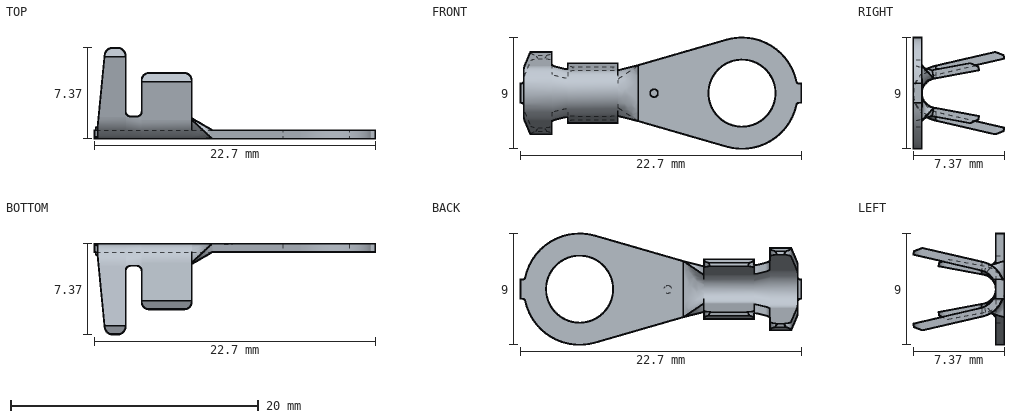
import cadquery as cq
import math

length = 22.67
sheet = 0.7

ring_width = 9.0
ring_radius = ring_width / 2
ring_x = 17.89
hole_radius = 2.7
tongue_start = 9.52
tongue_start_half = 2.27
dimple_x = 10.8
dimple_radius = 0.32
dimple_depth = 0.05

tab_half = 0.8
tab_fillet = 0.15

grip_start, grip_end = 0.27, 2.55
grip_radius = 2.27
grip_lean = 13.0
grip_tip, grip_shoulder = 7.37, 6.62
grip_taper_base = 1.13
grip_taper = 0.61
grip_corner = 0.73

crimp_start, crimp_end = 3.8, 7.87
crimp_radius = 1.88
crimp_lean = 10.6
crimp_tip, crimp_shoulder = 5.33, 4.6
crimp_corner = 0.63

tip_land = 0.3

notch_floor = 1.81
notch_fillet = 0.36
neck_top = 2.72


def bend_point(radius, bend_radius, lean):
    """Point (y, z) on a bend arc where the leaning wing starts."""
    angle = math.radians(lean)
    return bend_radius - radius * math.sin(angle), radius * math.cos(angle)


def wing_point(radius, bend_radius, lean, y):
    """Point (y, z) at height y on the straight face of the wing."""
    y_bend, z_bend = bend_point(radius, bend_radius, lean)
    return y, z_bend + (y - y_bend) * math.tan(math.radians(lean))


def mirrored(point):
    """Point (y, z) reflected across Z = 0."""
    return point[0], -point[1]


def channel(x, bend_radius, lean, tip, shoulder=None):
    """U-shaped sheet section at x; with a shoulder, the tips are coined on the outside."""
    inner_radius = bend_radius - sheet
    outer_bend = bend_point(bend_radius, bend_radius, lean)
    inner_bend = bend_point(inner_radius, bend_radius, lean)
    inner_tip = wing_point(inner_radius, bend_radius, lean, tip)
    if shoulder is None:
        wing = [wing_point(bend_radius, bend_radius, lean, tip), inner_tip]
    else:
        slope = math.radians(lean)
        land_corner = (tip - tip_land * math.sin(slope), inner_tip[1] + tip_land * math.cos(slope))
        wing = [
            wing_point(bend_radius, bend_radius, lean, shoulder),
            land_corner,
            inner_tip,
        ]
    section = cq.Workplane("YZ", origin=(x, 0, 0)).moveTo(*mirrored(outer_bend))
    section = section.threePointArc((0, 0), outer_bend)
    for point in wing + [inner_bend]:
        section = section.lineTo(*point)
    section = section.threePointArc((sheet, 0), mirrored(inner_bend))
    for point in reversed(wing):
        section = section.lineTo(*mirrored(point))
    return section.close()


def loft(first, second):
    """Ruled solid between two single-wire sections."""
    return cq.Workplane(cq.Solid.makeLoft([first.wire().val(), second.wire().val()], True))


def side_profile(points, corner):
    """Wing outline in X and Y, through all Z; the two corners at the tip are rounded."""
    profile = cq.Workplane("XY").polyline(points).close()
    profile = profile.extrude(ring_radius, both=True)
    return profile.edges("|Z and >Y").fillet(corner)


def insulation_wings():
    section = channel(grip_start, grip_radius, grip_lean, grip_tip, grip_shoulder)
    outline = [
        (grip_start, 0),
        (grip_end, 0),
        (grip_end, grip_tip),
        (grip_start + grip_taper, grip_tip),
        (grip_start, grip_taper_base),
    ]
    return section.extrude(grip_end - grip_start).intersect(side_profile(outline, grip_corner))


def conductor_wings():
    section = channel(crimp_start, crimp_radius, crimp_lean, crimp_tip, crimp_shoulder)
    outline = [
        (crimp_start, 0),
        (crimp_end, 0),
        (crimp_end, crimp_tip),
        (crimp_start, crimp_tip),
    ]
    return section.extrude(crimp_end - crimp_start).intersect(side_profile(outline, crimp_corner))


def neck():
    """Channel blending the two bend radii, notched down between the wing pairs."""
    body = loft(
        channel(grip_end, grip_radius, grip_lean, neck_top),
        channel(crimp_start, crimp_radius, crimp_lean, neck_top),
    )
    notch = (
        cq.Workplane("XY")
        .moveTo(grip_end, notch_floor)
        .rect(crimp_start - grip_end, neck_top, centered=False)
        .extrude(ring_radius, both=True)
        .edges("|Z and <Y")
        .fillet(notch_fillet)
    )
    return body.cut(notch)


def transition():
    """Bent sheet flattening out from the conductor channel to the tongue."""
    outer = bend_point(crimp_radius, crimp_radius, crimp_lean)
    inner = bend_point(crimp_radius - sheet, crimp_radius, crimp_lean)
    curved = (
        cq.Workplane("YZ", origin=(crimp_end, 0, 0))
        .moveTo(*mirrored(outer))
        .threePointArc((0, 0), outer)
        .lineTo(*inner)
        .threePointArc((sheet, 0), mirrored(inner))
        .close()
    )
    flat = (
        cq.Workplane("YZ", origin=(tongue_start, 0, 0))
        .moveTo(0, -tongue_start_half)
        .lineTo(0, tongue_start_half)
        .lineTo(sheet, tongue_start_half)
        .lineTo(sheet, -tongue_start_half)
        .close()
    )
    return loft(curved, flat)


def sheet_plane():
    """Outer sheet face; extruding by -sheet fills the sheet thickness."""
    return cq.Workplane("XZ")


def tongue():
    reach = ring_x - tongue_start
    corner_distance = math.hypot(reach, tongue_start_half)
    corner_angle = math.atan2(tongue_start_half, -reach)
    touch_angle = corner_angle - math.acos(ring_radius / corner_distance)
    touch_x = ring_x + ring_radius * math.cos(touch_angle)
    touch_z = ring_radius * math.sin(touch_angle)

    plate = (
        sheet_plane()
        .moveTo(tongue_start, -tongue_start_half)
        .lineTo(touch_x, -touch_z)
        .threePointArc((ring_x + ring_radius, 0), (touch_x, touch_z))
        .lineTo(tongue_start, tongue_start_half)
        .close()
        .extrude(-sheet)
    )
    tab = (
        sheet_plane()
        .moveTo(ring_x, -tab_half)
        .rect(length - ring_x, 2 * tab_half, centered=False)
        .extrude(-sheet)
    )
    tab_root = ring_x + math.sqrt(ring_radius**2 - tab_half**2)
    root_edges = cq.selectors.BoxSelector(
        (tab_root - tab_fillet, -sheet, -2 * tab_half),
        (tab_root + tab_fillet, 2 * sheet, 2 * tab_half),
    )
    plate = plate.union(tab).edges("|Y").edges(root_edges).fillet(tab_fillet)
    hole = sheet_plane().center(ring_x, 0).circle(hole_radius).extrude(-sheet)
    dimple = sheet_plane().center(dimple_x, 0).circle(dimple_radius).extrude(-dimple_depth)
    return plate.cut(hole).cut(dimple)


def tail_tab():
    """Flat cut-off stub, with rounded flares along the curved sheet on both sides of its root."""
    stub = (
        sheet_plane()
        .moveTo(0, -tab_half)
        .rect(grip_start, 2 * tab_half, centered=False)
        .extrude(-sheet)
    )
    flare = (
        sheet_plane()
        .moveTo(grip_start, tab_half)
        .lineTo(grip_start - tab_fillet, tab_half)
        .radiusArc((grip_start, tab_half + tab_fillet), -tab_fillet)
        .close()
        .extrude(-grip_radius)
    )
    curved_sheet = channel(0, grip_radius, grip_lean, grip_tip).extrude(grip_start)
    flares = flare.union(flare.mirror("XY")).intersect(curved_sheet)
    return stub.union(flares)


result = (
    conductor_wings()
    .union(neck())
    .union(insulation_wings())
    .union(tail_tab())
    .union(transition())
    .union(tongue())
    .solids()
)